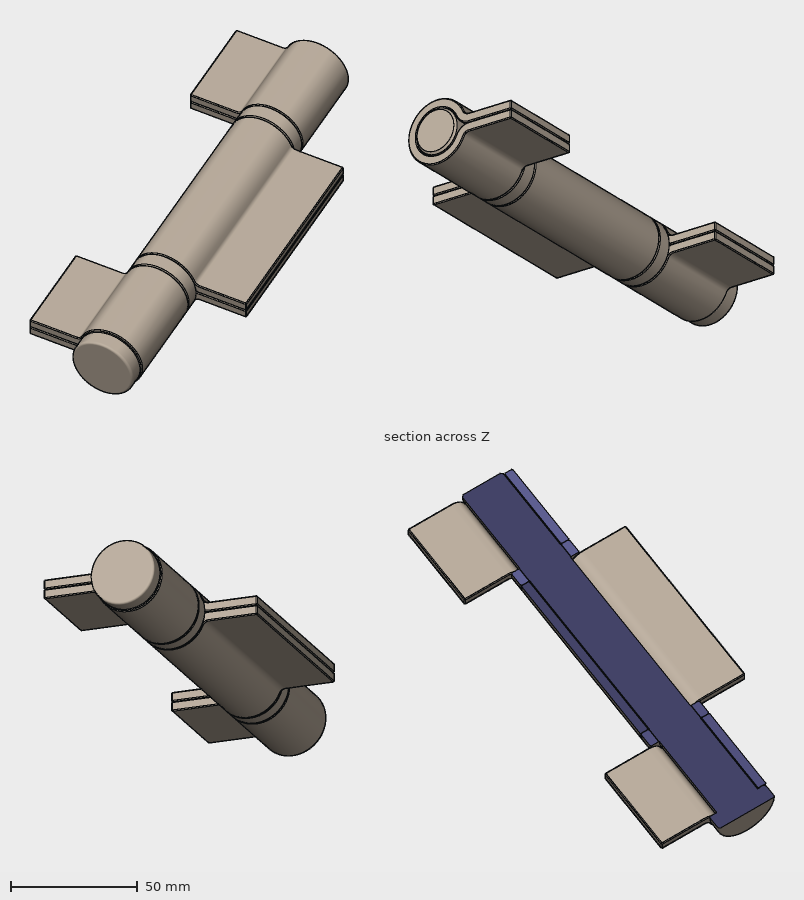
import cadquery as cq
import math

knuckle_diameter = 28.0
bore_diameter = 20.3
sheet_thickness = (knuckle_diameter - bore_diameter) / 2
ply_gap = 0.1
fold_radius = 2.8
sheet_chamfer = 0.4
wing_reach = 72.0 / 2

overall_length = 186
outer_leaf_length = 40.0
middle_leaf_length = 83.9
pin_projection = 1.0
leaves_length = 2 * outer_leaf_length + middle_leaf_length
ring_length = (overall_length - pin_projection - leaves_length) / 3
head_length = ring_length

ring_chamfer = 0.5

pin_diameter = 19.7
tip_chamfer = 1.0
head_diameter = 27.0
head_fillet = 1.0

pin_tip_y = overall_length / 2
top_leaf_y = pin_tip_y - pin_projection - outer_leaf_length
top_ring_y = top_leaf_y - ring_length
middle_leaf_y = top_ring_y - middle_leaf_length
bottom_ring_y = middle_leaf_y - ring_length
bottom_leaf_y = bottom_ring_y - outer_leaf_length
head_y = bottom_leaf_y - head_length


def axial_plane(y):
    """XZ plane at the given Y, extruding toward +Y; its local x is -X."""
    return cq.Workplane(cq.Plane((0, y, 0), xDir=(-1, 0, 0), normal=(0, 1, 0)))


def cylinder(y, length, diameter):
    """Round bar on the hinge axis, starting at the given Y."""
    return axial_plane(y).circle(diameter / 2).extrude(length)


def wrapped_outline(y, radius, blend_radius, half_thickness):
    """Closed outline of a circle blended into a flat tongue along local +x."""
    centre_z = half_thickness + blend_radius
    centre_x = math.sqrt((radius + blend_radius) ** 2 - centre_z**2)
    tangent_scale = radius / (radius + blend_radius)
    round_x = centre_x * tangent_scale
    round_z = centre_z * tangent_scale
    end_angle = math.atan2(-centre_z, -centre_x)
    middle_angle = (end_angle - math.pi / 2) / 2
    middle_x = centre_x + blend_radius * math.cos(middle_angle)
    middle_z = centre_z + blend_radius * math.sin(middle_angle)
    return (
        axial_plane(y)
        .moveTo(wing_reach, half_thickness)
        .lineTo(centre_x, half_thickness)
        .threePointArc((middle_x, middle_z), (round_x, round_z))
        .threePointArc((-radius, 0), (round_x, -round_z))
        .threePointArc((middle_x, -middle_z), (centre_x, -half_thickness))
        .lineTo(wing_reach, -half_thickness)
        .close()
    )


def leaf(y, length):
    """Sheet folded around the pin, its two plies forming a wing toward -X."""
    outside = wrapped_outline(
        y, knuckle_diameter / 2, fold_radius, sheet_thickness + ply_gap / 2
    ).extrude(length)
    inside = wrapped_outline(
        y, bore_diameter / 2, fold_radius + sheet_thickness, ply_gap / 2
    ).extrude(length)
    return outside.cut(inside).faces("<X or <Y or >Y").edges().chamfer(sheet_chamfer)


def ring(y):
    """Spacer ring between two leaves, fitting on the pin."""
    return (
        cylinder(y, ring_length, knuckle_diameter)
        .faces("<Y or >Y").edges().chamfer(ring_chamfer)
        .cut(cylinder(y, ring_length, pin_diameter))
    )


def headed_pin():
    """Shank with a round-edged head at its -Y end and a chamfered tip."""
    head = (
        cylinder(head_y, head_length, head_diameter)
        .faces("<Y or >Y").edges().fillet(head_fillet)
    )
    shank = (
        cylinder(head_y, pin_tip_y - head_y, pin_diameter)
        .faces(">Y").edges().chamfer(tip_chamfer)
    )
    return head.union(shank)


outer_leaves = [leaf(y, outer_leaf_length) for y in (top_leaf_y, bottom_leaf_y)]
middle_leaf = leaf(middle_leaf_y, middle_leaf_length).mirror("YZ")
rings = [ring(y) for y in (top_ring_y, bottom_ring_y)]
pin = headed_pin()

result = cq.Compound.makeCompound(
    [body.val() for body in (*outer_leaves, middle_leaf, *rings, pin)]
)